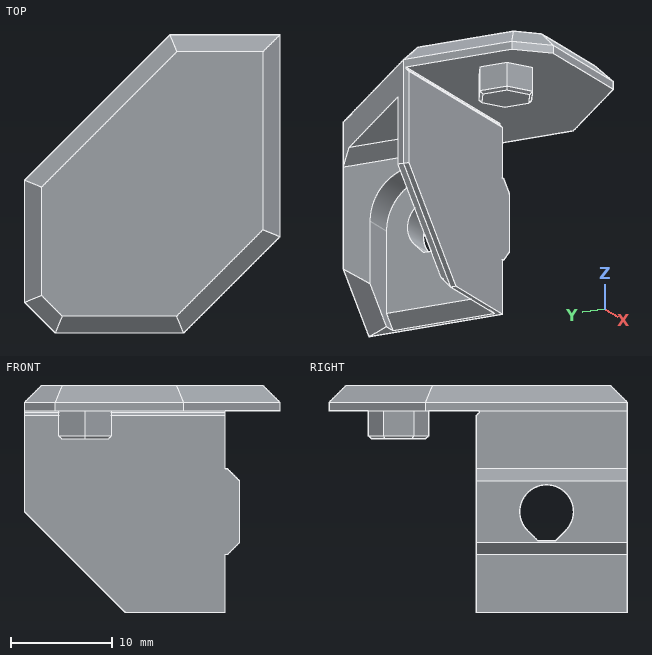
import cadquery as cq
import math

width = 25.3
depth = 29.55
height = 22.5

plate_thickness = 2.5
plate_bevel = 1.68
plate_bottom = height - plate_thickness
small_corner = 3.05
right_corner = 9.55
slant_run = 14.4
slant_start = depth - slant_run

wall_right = 19.85
wall_edge = 0.6
wall_bevel = 1.4
wall_thickness = wall_edge + wall_bevel
wall_front = slant_start - wall_edge
wall_inner = wall_front + wall_thickness
wall_corner = 9.95

groove_depth = 0.3
groove_straight = 0.18

ceiling = 17.52
ceiling_chamfer = 1.42
pad_face = slant_run
pad_clip_rise = 2.0

recess_radius = 5.0
recess_floor = wall_right - wall_thickness
hole_y = wall_inner + recess_radius
hole_z = 10.0
hole_radius = 2.645
teardrop_drop = 2.88
rail_shoulder = 0.25
rail_height = 1.45
rail_base_half = 4.25
rail_tip_half = rail_base_half - (rail_height - rail_shoulder)

peg_x = 6.0
peg_y = 6.89
peg_corners = 6.03
peg_height = 2.78
peg_chamfer = 0.3


def box(x0, x1, y0, y1, z0, z1):
    return cq.Workplane("XY").box(x1 - x0, y1 - y0, z1 - z0, centered=False).translate((x0, y0, z0))


def plan_prism(bottom, top):
    """Prism with the plan outline of the top plate."""
    outline = [
        (small_corner, 0),
        (width - right_corner, 0),
        (width, right_corner),
        (width, depth),
        (slant_run, depth),
        (0, slant_start),
        (0, small_corner),
    ]
    return cq.Workplane("XY").workplane(offset=bottom).polyline(outline).close().extrude(top - bottom)


def make_plate():
    return plan_prism(plate_bottom, height).faces(">Z").chamfer(plate_bevel)


def make_front_wall():
    """Clipped-corner wall whose free inner edges are bevelled at 45 degrees."""
    spare = 2 * wall_bevel
    outline = [
        (wall_corner, 0),
        (wall_right + spare, 0),
        (wall_right + spare, height + spare),
        (0, height + spare),
        (0, wall_corner),
    ]
    back_plane = cq.Workplane("XZ", origin=(0, wall_front, 0))
    edge = back_plane.polyline(outline).close().extrude(-wall_edge)
    bevel_plane = cq.Workplane("XZ", origin=(0, slant_start, 0))
    bevel = bevel_plane.polyline(outline).close().extrude(-wall_bevel, taper=45)
    limits = box(0, wall_right, wall_front, wall_inner, 0, plate_bottom)
    groove_end = plate_bottom - groove_straight
    groove = (
        cq.Workplane("YZ")
        .moveTo(wall_front, plate_bottom)
        .lineTo(wall_front + groove_depth, plate_bottom)
        .lineTo(wall_front + groove_depth, groove_end)
        .lineTo(wall_front, groove_end - groove_depth)
        .close()
        .extrude(wall_right)
    )
    return edge.union(bevel).intersect(limits).cut(groove)


def make_block():
    """Thick roof and right-hand pad, trimmed to the slanted plan edge."""
    profile = [
        (0, plate_bottom),
        (wall_right, plate_bottom),
        (wall_right, 0),
        (pad_face, 0),
        (pad_face, ceiling - ceiling_chamfer),
        (pad_face - ceiling_chamfer, ceiling),
        (0, ceiling),
    ]
    inner_plane = cq.Workplane("XZ", origin=(0, wall_inner, 0))
    block = inner_plane.polyline(profile).close().extrude(wall_inner - depth)
    return block.intersect(plan_prism(0, height))


def make_pad_clip():
    """Sloping underside of the pad, running through the lower rear outer corner."""
    pad_depth = wall_right - pad_face
    strip_start = hole_y + recess_radius
    slope_run = pad_depth * (depth - strip_start) / pad_clip_rise
    corner = cq.Vector(wall_right, depth, 0)
    points = [
        cq.Vector(pad_face, depth, 0),
        corner,
        cq.Vector(pad_face, depth, pad_depth),
        cq.Vector(pad_face, depth - slope_run, 0),
    ]
    faces = []
    for skipped in range(len(points)):
        triangle = [point for index, point in enumerate(points) if index != skipped]
        faces.append(cq.Face.makeFromWires(cq.Wire.makePolygon(triangle, close=True)))
    return cq.Workplane(cq.Solid.makeSolid(cq.Shell.makeShell(faces)))


def make_recess():
    """Arched recess open at the bottom, with a bevel along the wall's lower edge."""
    arch_start = hole_y - recess_radius
    arch_end = hole_y + recess_radius
    arch = (
        cq.Workplane("YZ", origin=(pad_face, 0, 0))
        .moveTo(arch_start, 0)
        .lineTo(arch_start, hole_z)
        .threePointArc((hole_y, hole_z + recess_radius), (arch_end, hole_z))
        .lineTo(arch_end, 0)
        .close()
        .extrude(recess_floor - pad_face)
    )
    bevel = (
        cq.Workplane("XZ", origin=(0, slant_start, 0))
        .moveTo(recess_floor, 0)
        .lineTo(recess_floor + wall_bevel, 0)
        .lineTo(recess_floor, wall_bevel)
        .close()
        .extrude(slant_start - arch_end)
    )
    return arch.union(bevel)


def make_rail():
    """Key with 45 degree flanks along the outer face of the right wall."""
    shoulder = wall_right + rail_shoulder
    tip = wall_right + rail_height
    profile = [
        (recess_floor + wall_bevel, hole_z - rail_base_half),
        (shoulder, hole_z - rail_base_half),
        (tip, hole_z - rail_tip_half),
        (tip, hole_z + rail_tip_half),
        (shoulder, hole_z + rail_base_half),
        (recess_floor + wall_bevel, hole_z + rail_base_half),
    ]
    plane = cq.Workplane("XZ", origin=(0, wall_front, 0))
    return plane.polyline(profile).close().extrude(wall_front - depth)


def make_hole():
    """Round hole with 45 degree tangents that end in a flat below it."""
    tangent = hole_radius / math.sqrt(2)
    flat_half = hole_radius * math.sqrt(2) - teardrop_drop
    return (
        cq.Workplane("YZ", origin=(pad_face, hole_y, hole_z))
        .moveTo(-tangent, -tangent)
        .threePointArc((0, hole_radius), (tangent, -tangent))
        .lineTo(flat_half, -teardrop_drop)
        .lineTo(-flat_half, -teardrop_drop)
        .close()
        .extrude(wall_right + rail_height - pad_face)
    )


def make_peg():
    peg = (
        cq.Workplane("XY", origin=(peg_x, peg_y, plate_bottom))
        .transformed(rotate=(0, 0, 90))
        .polygon(6, peg_corners)
        .extrude(-peg_height)
    )
    return peg.faces("<Z").chamfer(peg_chamfer)


wall_foot = box(recess_floor, wall_right, slant_start, wall_inner, 0, wall_thickness)
body = make_block().cut(make_pad_clip()).cut(make_recess())
body = body.union(make_front_wall()).union(wall_foot.cut(make_recess()))
body = body.union(make_plate()).union(make_rail())
result = body.cut(make_hole()).union(make_peg())